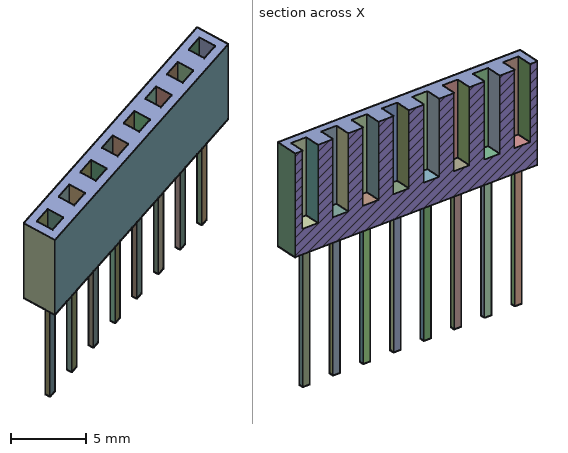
import cadquery as cq

pitch = 2.54
contact_count = 8
body_height = 8.0
socket_side = 1.27
socket_depth = 6.0
pin_thickness = 0.4
pin_width = 0.6
pin_length = 10.5

body_width = pitch
body_length = contact_count * pitch

contact_positions = [
    (0, (index - (contact_count - 1) / 2) * pitch) for index in range(contact_count)
]


def make_housing():
    """Plain rectangular block standing on Z = 0."""
    return cq.Workplane("XY").box(body_width, body_length, body_height, centered=(True, True, False))


def make_sockets():
    """Square blind pockets sunk from the top face."""
    return (
        cq.Workplane("XY")
        .workplane(offset=body_height)
        .pushPoints(contact_positions)
        .rect(socket_side, socket_side)
        .extrude(-socket_depth)
    )


def make_pins():
    """Flat rectangular tails hanging from the bottom face."""
    return (
        cq.Workplane("XY")
        .pushPoints(contact_positions)
        .rect(pin_thickness, pin_width)
        .extrude(-pin_length)
    )


result = make_housing().cut(make_sockets()).union(make_pins())